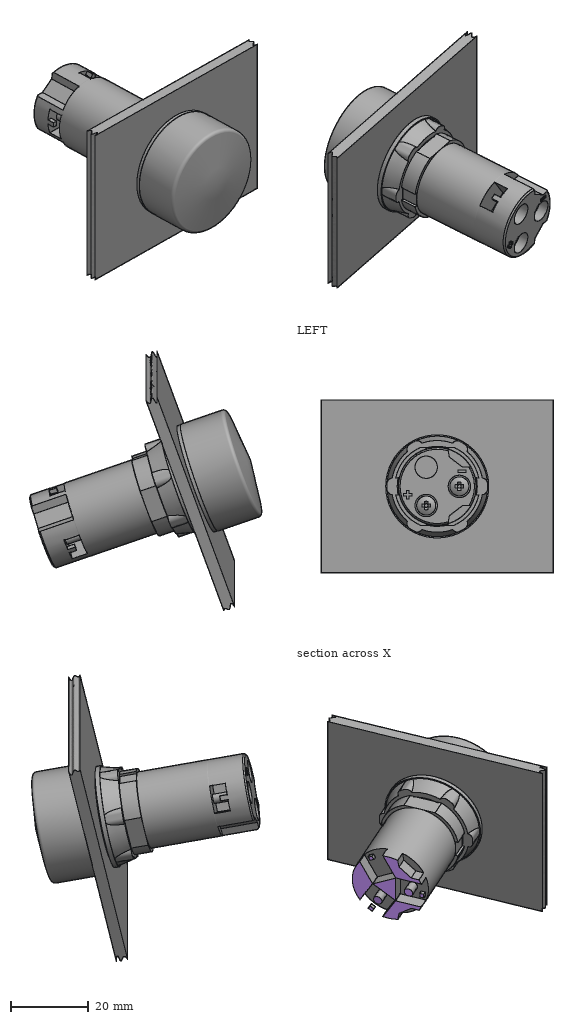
import cadquery as cq
import math


panel_thickness = 3.0
panel_half_length = 30.2
panel_height = 45.0
panel_corner_y = 30.05

nut_bore_diameter = 20.8
nut_flange_diameter = 26.8
nut_flange_thickness = 1.2
nut_panel_gap = 0.5
nut_cone_length = 4.65
nut_cone_small_radius = 11.9
nut_cone_large_radius = 13.05
grip_count = 6
grip_radius = 13.05
grip_width = 4.35
grip_rounding = 1.5
grip_root_radius = 10.9
nut_flange_rear_x = -nut_panel_gap - nut_flange_thickness
nut_rear_x = nut_flange_rear_x - nut_cone_length

neck_diameter = 22.6
head_rim_diameter = 29.25
head_rim_length = 0.95
lens_diameter = 29.45
lens_length = 12.3
lens_rounding = 0.95
lens_tip_x = 18.15
head_rim_front_x = panel_thickness + head_rim_length
lens_edge_x = head_rim_front_x + lens_length

barrel_diameter = 20.2
barrel_chamfer_length = 0.2
collar_diameter = 22.0
collar_length = 4.5
collar_notch_width = 4.35
collar_rear_x = nut_rear_x - collar_length
barrel_rear_x = -29.7

block_diameter = 20.1
block_length = 9.7
block_chamfer = 0.4
block_rear_x = barrel_rear_x - block_length
notch_top_y = -2.8
notch_side_y = -3.15
notch_side_z = 7.6
notch_floor_y = -6.5
notch_floor_z = 5.0

terminal_angles = (0, 120, 240)
screw_angles = (0, 120)
terminal_radius = 5.75
well_diameter = 5.8
well_depth = 4.3
window_width = 7.3
window_length = 4.2
window_floor_radius = 2.2
tongue_width = 1.3
tongue_length = 2.0
tongue_inner_radius = 8.9
well_floor_x = block_rear_x + well_depth
window_rear_x = barrel_rear_x - window_length

mark_height = 0.25
mark_length = 2.1
mark_width = 0.65
plus_y, plus_z = 7.7, -2.2
minus_y, minus_z = -6.45, 3.9

screw_shank_diameter = 2.5
screw_head_diameter = 4.95
screw_head_edge = 1.7
screw_head_height = 2.55
recess_span = 2.55
recess_arm_width = 0.85
recess_floor_diameter = 0.95
recess_depth = 0.85

overrun = 3.0


def cylinder_along_x(diameter, start_x, end_x):
    return cq.Workplane("YZ", origin=(start_x, 0, 0)).circle(diameter / 2).extrude(end_x - start_x)


def box_between(x_range, y_range, z_range):
    size = [high - low for low, high in (x_range, y_range, z_range)]
    corner = (x_range[0], y_range[0], z_range[0])
    return cq.Workplane("XY").box(*size, centered=False).translate(corner)


def turned_about_x(shape, angle):
    return shape.rotate((0, 0, 0), (1, 0, 0), angle)


def revolved_about_x(outline):
    """Revolve an XY outline about the X axis."""
    return outline.close().revolve(360, (0, 0, 0), (1, 0, 0))


def make_panel():
    """Plate with wavy break lines at both Y ends and a hole for the lamp neck."""
    crests_plus_y = [(0.55, 29.6), (1.4, panel_half_length), (2.55, 28.9)]
    crests_minus_y = [(2.35, -28.5), (1.8, -panel_half_length), (0.7, -29.0)]
    forward = [(1, 0)] * len(crests_plus_y)
    backward = [(-1, 0)] * len(crests_minus_y)
    plate = (
        cq.Workplane("XY", origin=(0, 0, -panel_height / 2))
        .moveTo(0, panel_corner_y)
        .spline(
            crests_plus_y + [(panel_thickness, panel_corner_y)],
            tangents=[(1, -1)] + forward + [(1, 3)],
            includeCurrent=True,
        )
        .lineTo(panel_thickness, -panel_corner_y)
        .spline(
            crests_minus_y + [(0, -panel_corner_y)],
            tangents=[(-1, 3)] + backward + [(-1, -3)],
            includeCurrent=True,
        )
        .close()
        .extrude(panel_height)
    )
    return plate.cut(cylinder_along_x(neck_diameter, -overrun, panel_thickness + overrun))


def make_nut():
    """Flanged conical ring nut with rounded grips around the cone."""
    flange_radius = nut_flange_diameter / 2
    nut = revolved_about_x(
        cq.Workplane("XY")
        .moveTo(nut_rear_x, 0)
        .lineTo(nut_rear_x, nut_cone_small_radius)
        .lineTo(nut_flange_rear_x, nut_cone_large_radius)
        .lineTo(nut_flange_rear_x, flange_radius)
        .lineTo(-nut_panel_gap, flange_radius)
        .lineTo(-nut_panel_gap, 0)
    )
    grip = box_between(
        (nut_rear_x, nut_flange_rear_x),
        (grip_root_radius, grip_radius),
        (-grip_width / 2, grip_width / 2),
    )
    grip = grip.faces(">Y").edges("|X").fillet(grip_rounding)
    for index in range(grip_count):
        nut = nut.union(turned_about_x(grip, index * 360 / grip_count))
    bore = cylinder_along_x(nut_bore_diameter, nut_rear_x - overrun, overrun)
    return nut.cut(bore)


def make_lamp_head():
    """Rim, lens with rounded edge and shallow conical front."""
    rim_radius = head_rim_diameter / 2
    lens_radius = lens_diameter / 2
    arc_offset = lens_rounding * math.sqrt(0.5)
    arc_centre_x = lens_edge_x - lens_rounding
    arc_centre_radius = lens_radius - lens_rounding
    return revolved_about_x(
        cq.Workplane("XY")
        .moveTo(panel_thickness, 0)
        .lineTo(panel_thickness, rim_radius)
        .lineTo(head_rim_front_x, rim_radius)
        .lineTo(head_rim_front_x, lens_radius)
        .lineTo(arc_centre_x, lens_radius)
        .threePointArc(
            (arc_centre_x + arc_offset, arc_centre_radius + arc_offset),
            (lens_edge_x, arc_centre_radius),
        )
        .lineTo(lens_tip_x, 0)
    )


def make_collar():
    """Collar with flats above and below and a flat-bottomed notch on each side, level with the barrel."""
    level = barrel_diameter / 2
    collar = cylinder_along_x(collar_diameter, collar_rear_x, nut_rear_x)
    x_range = (collar_rear_x, nut_rear_x)
    flat_cut = box_between(x_range, (-collar_diameter, collar_diameter), (level, level + overrun))
    notch_z_range = (-collar_notch_width / 2, collar_notch_width / 2)
    notch_cut = box_between(x_range, (level, level + overrun), notch_z_range)
    for angle in (0, 180):
        collar = collar.cut(turned_about_x(flat_cut, angle))
        collar = collar.cut(turned_about_x(notch_cut, angle))
    return collar


def make_barrel():
    """Barrel whose rear edge tapers down to the terminal block."""
    barrel_radius = barrel_diameter / 2
    return revolved_about_x(
        cq.Workplane("XY")
        .moveTo(barrel_rear_x, 0)
        .lineTo(barrel_rear_x, block_diameter / 2)
        .lineTo(barrel_rear_x + barrel_chamfer_length, barrel_radius)
        .lineTo(collar_rear_x, barrel_radius)
        .lineTo(collar_rear_x, 0)
    )


def make_corner_notch():
    """Cutter for the notch at the -Y, +Z corner of the terminal block."""
    outside = block_diameter
    top_z = math.sqrt((block_diameter / 2) ** 2 - notch_top_y**2)
    return (
        cq.Workplane("YZ", origin=(block_rear_x, 0, 0))
        .moveTo(notch_top_y, outside)
        .lineTo(notch_top_y, top_z)
        .lineTo(notch_side_y, notch_side_z)
        .lineTo(notch_floor_y, notch_floor_z)
        .lineTo(-outside, notch_floor_z)
        .lineTo(-outside, outside)
        .close()
        .extrude(block_length)
    )


def make_wire_window():
    """Cutter for the window on the -Y side, with a tongue left standing at its rear edge."""
    outside = block_diameter
    window = box_between(
        (window_rear_x, barrel_rear_x),
        (-outside, -window_floor_radius),
        (-window_width / 2, window_width / 2),
    )
    tongue = box_between(
        (window_rear_x, window_rear_x + tongue_length),
        (-outside, -tongue_inner_radius),
        (-tongue_width / 2, tongue_width / 2),
    )
    return window.cut(tongue)


def make_mark_bar(y, z, y_length, z_length):
    return box_between(
        (block_rear_x - mark_height, block_rear_x),
        (y - y_length / 2, y + y_length / 2),
        (z - z_length / 2, z + z_length / 2),
    )


def make_terminal_block():
    block = cylinder_along_x(block_diameter, block_rear_x, barrel_rear_x)
    block = block.faces("<X").chamfer(block_chamfer)

    corner_notch = make_corner_notch()
    block = block.cut(corner_notch).cut(corner_notch.mirror("XY"))

    window = make_wire_window()
    well = cylinder_along_x(well_diameter, block_rear_x, well_floor_x).translate((0, -terminal_radius, 0))
    for angle in terminal_angles:
        block = block.cut(turned_about_x(window, angle)).cut(turned_about_x(well, angle))

    screw_hole = cylinder_along_x(screw_shank_diameter, well_floor_x, window_rear_x)
    screw_hole = screw_hole.translate((0, -terminal_radius, 0))
    for angle in screw_angles:
        block = block.cut(turned_about_x(screw_hole, angle))

    block = block.union(make_mark_bar(plus_y, plus_z, mark_length, mark_width))
    block = block.union(make_mark_bar(plus_y, plus_z, mark_width, mark_length))
    return block.union(make_mark_bar(minus_y, minus_z, mark_length, mark_width))


def make_lamp():
    """Head, neck, collar, barrel and terminal block in one piece."""
    neck = cylinder_along_x(neck_diameter, -nut_panel_gap, panel_thickness)
    thread = cylinder_along_x(nut_bore_diameter, nut_rear_x, -nut_panel_gap)
    lamp = make_lamp_head().union(neck).union(thread)
    return lamp.union(make_collar()).union(make_barrel()).union(make_terminal_block())


def make_cross_recess(crown_x):
    """Cross-shaped cutter whose arms slope down to a flat floor."""
    floor_x = crown_x + recess_depth
    arm = cq.Workplane("YZ", origin=(crown_x, 0, 0)).rect(recess_span, recess_arm_width).extrude(recess_depth)
    cross = arm.union(turned_about_x(arm, 90))
    funnel = revolved_about_x(
        cq.Workplane("XY")
        .moveTo(crown_x, 0)
        .lineTo(crown_x, recess_span / 2)
        .lineTo(floor_x, recess_floor_diameter / 2)
        .lineTo(floor_x, 0)
    )
    return cross.intersect(funnel)


def make_screw(angle):
    """Domed screw in its well, the shank reaching the front end of the wire window."""
    head_radius = screw_head_diameter / 2
    dome_edge_x = well_floor_x - screw_head_edge
    crown_x = well_floor_x - screw_head_height
    dome_height = screw_head_height - screw_head_edge
    dome_radius = (head_radius**2 + dome_height**2) / (2 * dome_height)
    half_chord = head_radius / 2
    dome_middle_x = crown_x + dome_radius - math.sqrt(dome_radius**2 - half_chord**2)
    head = revolved_about_x(
        cq.Workplane("XY")
        .moveTo(well_floor_x, 0)
        .lineTo(well_floor_x, head_radius)
        .lineTo(dome_edge_x, head_radius)
        .threePointArc((dome_middle_x, half_chord), (crown_x, 0))
    )
    shank = cylinder_along_x(screw_shank_diameter, well_floor_x, barrel_rear_x)
    screw = head.cut(make_cross_recess(crown_x)).union(shank)
    angle_from_y = math.radians(angle)
    return screw.translate(
        (0, -terminal_radius * math.cos(angle_from_y), -terminal_radius * math.sin(angle_from_y))
    )


lamp = make_lamp()
panel = make_panel()
nut = make_nut()
screws = [make_screw(angle) for angle in screw_angles]

result = cq.Compound.makeCompound([lamp.val(), panel.val(), nut.val(), *[screw.val() for screw in screws]])